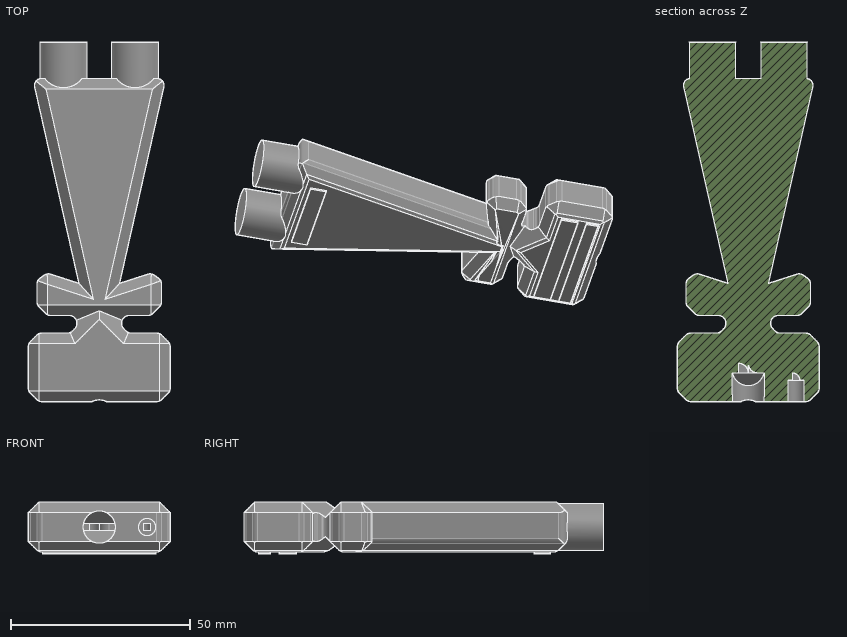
import cadquery as cq
import math


HALF_THICKNESS = 7.0
CHAMFER = 3.0
LIP_HEIGHT = 0.5
LIP_INSET = 1.0
ROUND = 2.0

HANDLE_WIDTH = 39.66
HANDLE_DEPTH = 19.2
NECK_TIP_Y = 23.0
NECK_WIDTH = 12.6

GUARD_WIDTH = 34.8
GUARD_FRONT_Y = 24.05
GUARD_REAR_Y = 32.75
GUARD_REAR_ANGLE = 18.0

STOCK_END_Y = 90.25
STOCK_FACE_HALF_WIDTH = 14.85
STOCK_ANGLE = 12.7
STOCK_START_Y = 27.5
BARREL_END_Y = 100.35
BARREL_SPACING = 20.0
BARREL_RADIUS = 6.6

BORE_DIAMETER = 9.0
BORE_DEPTH = 8.0
BORE_END_HEIGHT = 2.0
BORE_POCKET_SIZE = 2.7
PIN_X = 13.35
PIN_DIAMETER = 4.8
PIN_DEPTH = 6.0
SOCKET_SIZE = 2.0

BAND_HEIGHT = 0.5
HANDLE_BAND_LENGTH = 31.8
HANDLE_BANDS_Y = ((4.0, 7.4), (9.8, 14.6))
STOCK_BAND_LENGTH = 22.0
STOCK_BAND_Y = (81.0, 85.5)


def mirrored(right_half):
    """Close a half outline (from front to rear, x >= 0) with its mirror image."""
    left_half = [(-x, y) for x, y in reversed(right_half) if x > 0]
    return right_half + left_half


def widening(face_outline, levels):
    """Loft through the outline grown or shrunk by the given offset at each (z, offset) level."""
    wires = []
    for z, offset in levels:
        section = cq.Workplane("XY", origin=(0, 0, z)).polyline(face_outline).close()
        if offset != 0:
            section = section.offset2D(offset, "intersection")
        wires.append(section.wires().val())
    return cq.Workplane(cq.Solid.makeLoft(wires, True))


def roof(face_outline):
    """Flat faces at full thickness, widening at 45 degrees down to mid thickness."""
    lip_top = LIP_HEIGHT - HALF_THICKNESS
    middle = (0, HALF_THICKNESS)
    upper = widening(face_outline, [middle, (HALF_THICKNESS, 0)])
    slope = widening(face_outline, [(lip_top, LIP_HEIGHT), middle])
    lip = widening(face_outline, [(-HALF_THICKNESS, LIP_HEIGHT - LIP_INSET), (lip_top, LIP_HEIGHT)])
    return upper.union(slope).union(lip)


def bevel_corner(body, corner, direction, corner_angle):
    """Slice the mitre off a face corner, above and below; direction points outwards in degrees."""
    half = math.radians(corner_angle / 2)
    run = CHAMFER / math.sin(half) - CHAMFER * math.cos(half)
    heading = math.radians(direction)
    size = 4 * CHAMFER
    for side in (1, -1):
        normal = (CHAMFER * math.cos(heading), CHAMFER * math.sin(heading), side * run)
        origin = (corner[0], corner[1], side * HALF_THICKNESS)
        cutter = cq.Workplane(cq.Plane(origin, normal=normal)).rect(size, size).extrude(size)
        body = body.cut(cutter)
    return body


def handle_roof():
    """Bevelled top and underside of the handle and its pointed neck."""
    x = HANDLE_WIDTH / 2 - CHAMFER
    front = CHAMFER
    rear = HANDLE_DEPTH - CHAMFER
    body = roof(mirrored([(x, front), (x, rear), (NECK_TIP_Y - rear, rear), (0, NECK_TIP_Y)]))
    for corner, direction in (((x, front), -45), ((x, rear), 45), ((-x, rear), 135), ((-x, front), 225)):
        body = bevel_corner(body, corner, direction, 90)
    return body


def guard_roof():
    """Bevelled top and underside of the guard."""
    x = GUARD_WIDTH / 2 - CHAMFER
    front = GUARD_FRONT_Y + CHAMFER
    valley = GUARD_REAR_Y - x * math.tan(math.radians(GUARD_REAR_ANGLE))
    body = roof(mirrored([(x, front), (x, GUARD_REAR_Y), (0, valley)]))
    rear_angle = 90 - GUARD_REAR_ANGLE
    rear_direction = 90 - rear_angle / 2
    for corner, direction, angle in (
        ((x, front), -45, 90),
        ((-x, front), 225, 90),
        ((x, GUARD_REAR_Y), rear_direction, rear_angle),
        ((-x, GUARD_REAR_Y), 180 - rear_direction, rear_angle),
    ):
        body = bevel_corner(body, corner, direction, angle)
    return body


def front_walls():
    """Upright walls of the handle, neck and guard, with rounded edges."""
    handle_x = HANDLE_WIDTH / 2
    neck_x = NECK_WIDTH / 2
    guard_x = GUARD_WIDTH / 2
    point_wall = NECK_TIP_Y + CHAMFER * math.sqrt(2)
    slope = math.radians(GUARD_REAR_ANGLE)
    tip_y = GUARD_REAR_Y + CHAMFER * math.tan(slope) + CHAMFER / math.cos(slope)
    outline = mirrored([
        (handle_x - CHAMFER, 0),
        (handle_x, CHAMFER),
        (handle_x, HANDLE_DEPTH - CHAMFER),
        (handle_x - CHAMFER, HANDLE_DEPTH),
        (point_wall - HANDLE_DEPTH, HANDLE_DEPTH),
        (neck_x, point_wall - neck_x),
        (neck_x, GUARD_FRONT_Y),
        (guard_x - CHAMFER, GUARD_FRONT_Y),
        (guard_x, GUARD_FRONT_Y + CHAMFER),
        (guard_x, tip_y - CHAMFER),
        (guard_x - CHAMFER * math.cos(slope), tip_y - CHAMFER * math.sin(slope)),
        (0, tip_y - guard_x * math.tan(slope)),
    ])
    walls = cq.Workplane("XY").polyline(outline).close().extrude(HALF_THICKNESS, both=True)
    return walls.edges("|Z").fillet(ROUND)


def wall_foot_selector():
    """Select the stock's side and rear edges where the walls meet the lower chamfer."""
    gap = 0.1
    foot_z = CHAMFER - HALF_THICKNESS
    return cq.selectors.BoxSelector(
        (-HANDLE_WIDTH, STOCK_START_Y + gap, foot_z - gap),
        (HANDLE_WIDTH, STOCK_END_Y + gap, foot_z + gap),
    )


def stock():
    """Tapered stock; the upright rear edges and the lower wall edges are rounded."""
    slope = math.radians(STOCK_ANGLE)
    rear = STOCK_END_Y - CHAMFER
    narrow_x = STOCK_FACE_HALF_WIDTH - (rear - STOCK_START_Y) * math.tan(slope)
    side_shift = CHAMFER / math.cos(slope)
    wide_wall_x = STOCK_FACE_HALF_WIDTH + side_shift + CHAMFER * math.tan(slope)
    narrow_wall_x = narrow_x + side_shift
    walls = (
        cq.Workplane("XY")
        .polyline(mirrored([(narrow_wall_x, STOCK_START_Y), (wide_wall_x, STOCK_END_Y)])).close()
        .extrude(HALF_THICKNESS, both=True)
    )
    body = walls.intersect(roof(mirrored([(narrow_x, STOCK_START_Y), (STOCK_FACE_HALF_WIDTH, rear)])))
    body = body.clean().edges(wall_foot_selector()).fillet(ROUND)
    return body.intersect(walls.edges("|Z and >Y").fillet(ROUND))


def barrels():
    """Two plain cylinders that run into the stock's rear chamfer."""
    length = BARREL_END_Y - STOCK_END_Y + CHAMFER
    return (
        cq.Workplane("XZ", origin=(0, BARREL_END_Y, 0))
        .pushPoints([(-BARREL_SPACING / 2, 0), (BARREL_SPACING / 2, 0)])
        .circle(BARREL_RADIUS).extrude(length)
    )


def raised_band(length, y_range):
    """Flat bar standing out from the underside."""
    y_front, y_rear = y_range
    return (
        cq.Workplane("XY", origin=(0, (y_front + y_rear) / 2, -HALF_THICKNESS))
        .rect(length, y_rear - y_front).extrude(-BAND_HEIGHT)
    )


def curved_pocket(left, front, size, height, hollow):
    """Pocket deepest at its left; its quarter-round end wall is hollow or bulges forward."""
    diagonal = size * math.sqrt(0.5)
    reach = diagonal if hollow else size - diagonal
    return (
        cq.Workplane("XY")
        .moveTo(left, front)
        .lineTo(left + size, front)
        .threePointArc((left + reach, front + reach), (left, front + size))
        .close()
        .extrude(height / 2, both=True)
    )


def central_bore():
    """Round bore whose end closes like a roof to a narrow band holding two curved pockets."""
    radius = BORE_DIAMETER / 2
    end_half = BORE_END_HEIGHT / 2
    shoulder = BORE_DEPTH - (radius - end_half)
    cylinder = cq.Workplane("XZ").circle(radius).extrude(-BORE_DEPTH)
    wedge = (
        cq.Workplane("YZ")
        .polyline([
            (0, -radius), (shoulder, -radius), (BORE_DEPTH, -end_half),
            (BORE_DEPTH, end_half), (shoulder, radius), (0, radius),
        ]).close()
        .extrude(radius, both=True)
    )
    left_pocket = curved_pocket(-BORE_POCKET_SIZE, BORE_DEPTH, BORE_POCKET_SIZE, BORE_END_HEIGHT, True)
    right_pocket = curved_pocket(0, BORE_DEPTH, BORE_POCKET_SIZE, BORE_END_HEIGHT, False)
    return cylinder.intersect(wedge).union(left_pocket).union(right_pocket)


def pin_hole():
    """Flat-ended hole with a square socket, whose end wall curves round towards the middle."""
    hole = cq.Workplane("XZ", origin=(PIN_X, 0, 0)).circle(PIN_DIAMETER / 2).extrude(-PIN_DEPTH)
    return hole.union(curved_pocket(PIN_X - SOCKET_SIZE / 2, PIN_DEPTH, SOCKET_SIZE, SOCKET_SIZE, True))


front_body = front_walls().intersect(handle_roof().union(guard_roof()))
result = front_body.union(stock()).union(barrels())
for band in HANDLE_BANDS_Y:
    result = result.union(raised_band(HANDLE_BAND_LENGTH, band))
result = result.union(raised_band(STOCK_BAND_LENGTH, STOCK_BAND_Y))
result = result.cut(central_bore()).cut(pin_hole())